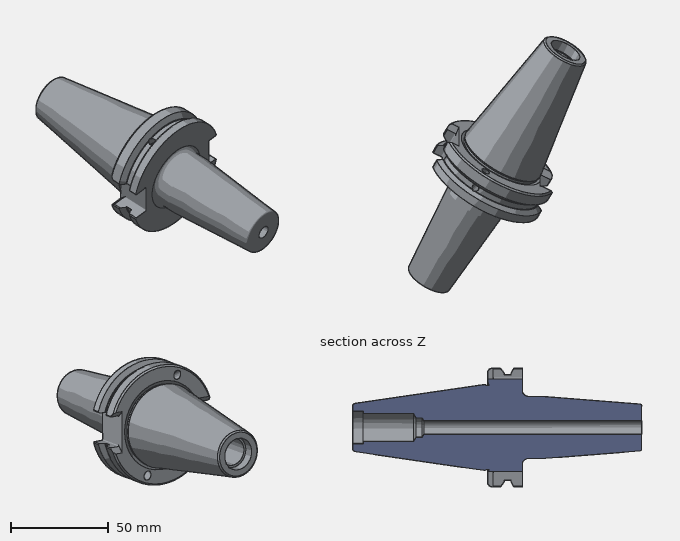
import cadquery as cq
import math

total_length = 148.2

gauge_x = 68.3
gauge_radius = 22.2
taper_slope = 7 / 48
taper_end_x = 67.8
entry_chamfer = 0.7

neck_radius = 21.6
neck_start_x = 68.6
undercut_depth = 0.6
undercut_mouth_radius = 23.4

flange_face_x = 69.2
flange_back_x = 87.2
flange_radius = 31.7
flange_chamfer = 0.9
groove_x = 79.5
groove_floor_radius = 28.3
groove_floor_width = 3.3
groove_left_run = 2.2
groove_right_run = 1.6
groove_step = 0.6

nose_radius = 16.0
nose_fillet_length = 3.1
nose_fillet_height = 2.1
nose_cone_x = 97.4
nose_cone_angle = 4.5
nose_end_fillet = 1.0

counterbore_radius = 8.3
counterbore_depth = 5.3
thread_radius = 7.1
thread_depth = 31.1
drill_radius = 4.9
drill_depth = 35.6
through_radius = 3.4
drill_point_angle = 59.0

slot_half_width = 8.2
slot_floor_front = 22.5
slot_floor_back = 24.9
slot_entry_chamfer = 2.8
slot_floor_fillet = 0.6
slot_edge_chamfer = 0.6

coolant_angle = 20.0
coolant_radius = 27.0
coolant_slant = 30.0
coolant_diameter = 4.2
plug_hole_diameter = 3.5


def taper_radius(x):
    return gauge_radius - (gauge_x - x) * taper_slope


def body():
    """Solid of revolution: taper, undercut, flange with V groove, and nose."""
    groove_wall_radius = groove_floor_radius + groove_step
    floor_left = groove_x - groove_floor_width / 2
    floor_right = groove_x + groove_floor_width / 2
    mouth_left = floor_left - groove_left_run
    mouth_right = floor_right + groove_right_run

    fillet_radius = (nose_fillet_length**2 + nose_fillet_height**2) / (2 * nose_fillet_height)
    fillet_end_x = flange_back_x + nose_fillet_length
    half_sweep = math.asin(nose_fillet_length / fillet_radius) / 2
    fillet_mid = (
        fillet_end_x - fillet_radius * math.sin(half_sweep),
        nose_radius + fillet_radius * (1 - math.cos(half_sweep)),
    )

    nose_taper = (total_length - nose_cone_x) * math.tan(math.radians(nose_cone_angle))
    profile = (
        cq.Workplane("XY")
        .moveTo(0, 0)
        .lineTo(0, taper_radius(0) - entry_chamfer)
        .lineTo(entry_chamfer, taper_radius(entry_chamfer))
        .lineTo(taper_end_x, taper_radius(taper_end_x))
        .lineTo(neck_start_x, neck_radius)
        .lineTo(flange_face_x + undercut_depth, neck_radius)
        .lineTo(flange_face_x, undercut_mouth_radius)
        .lineTo(flange_face_x, flange_radius - flange_chamfer)
        .lineTo(flange_face_x + flange_chamfer, flange_radius)
        .lineTo(mouth_left, flange_radius)
        .lineTo(floor_left, groove_wall_radius)
        .lineTo(floor_left, groove_floor_radius)
        .lineTo(floor_right, groove_floor_radius)
        .lineTo(floor_right, groove_wall_radius)
        .lineTo(mouth_right, flange_radius)
        .lineTo(flange_back_x, flange_radius)
        .lineTo(flange_back_x, nose_radius + nose_fillet_height)
        .threePointArc(fillet_mid, (fillet_end_x, nose_radius))
        .lineTo(nose_cone_x, nose_radius)
        .lineTo(total_length, nose_radius - nose_taper)
        .lineTo(total_length, 0)
        .close()
    )
    solid = profile.revolve(360, (0, 0, 0), (1, 0, 0))
    return solid.faces(">X").edges().fillet(nose_end_fillet)


def bore():
    """Stepped bore whose conical drill points lead down to the through hole."""
    point_slope = math.tan(math.radians(drill_point_angle))
    thread_point = (thread_radius - drill_radius) / point_slope
    drill_point = (drill_radius - through_radius) / point_slope
    return (
        cq.Workplane("XY")
        .moveTo(0, 0)
        .lineTo(0, counterbore_radius)
        .lineTo(counterbore_depth, counterbore_radius)
        .lineTo(counterbore_depth, thread_radius)
        .lineTo(thread_depth, thread_radius)
        .lineTo(thread_depth + thread_point, drill_radius)
        .lineTo(drill_depth, drill_radius)
        .lineTo(drill_depth + drill_point, through_radius)
        .lineTo(total_length, through_radius)
        .lineTo(total_length, 0)
        .close()
        .revolve(360, (0, 0, 0), (1, 0, 0))
    )


def drive_slot(side, floor_distance):
    """Cutter for one drive slot; side is -1 or +1 along Y."""
    slot_depth = flange_radius - floor_distance
    entry_half_width = slot_half_width + slot_entry_chamfer
    slot = (
        cq.Workplane("XZ", origin=(0, side * floor_distance, 0))
        .moveTo(flange_face_x, -entry_half_width)
        .lineTo(flange_face_x + slot_entry_chamfer, -slot_half_width)
        .lineTo(flange_back_x, -slot_half_width)
        .lineTo(flange_back_x, slot_half_width)
        .lineTo(flange_face_x + slot_entry_chamfer, slot_half_width)
        .lineTo(flange_face_x, entry_half_width)
        .close()
        .extrude(-side * slot_depth)
    )
    floor_face = "<Y" if side > 0 else ">Y"
    slot = slot.faces(floor_face).edges("|X").fillet(slot_floor_fillet)

    bevel_half_width = slot_half_width + slot_edge_chamfer
    wall_edge_y = math.sqrt(flange_radius**2 - slot_half_width**2) - slot_edge_chamfer
    rim_edge_y = math.sqrt(flange_radius**2 - bevel_half_width**2)
    bevels = (
        cq.Workplane("YZ", origin=(flange_face_x, 0, 0))
        .moveTo(side * wall_edge_y, -slot_half_width)
        .lineTo(side * rim_edge_y, -bevel_half_width)
        .lineTo(side * flange_radius, -bevel_half_width)
        .lineTo(side * flange_radius, bevel_half_width)
        .lineTo(side * rim_edge_y, bevel_half_width)
        .lineTo(side * wall_edge_y, slot_half_width)
        .close()
        .extrude(flange_back_x - flange_face_x)
    )
    return slot.union(bevels)


def coolant_channel():
    """Slanted hole from the flange face joined to a radial hole in the groove."""
    slant = math.radians(coolant_slant)
    run = groove_x - flange_face_x
    meeting_radius = coolant_radius - run * math.tan(slant)
    direction = cq.Vector(math.cos(slant), 0, -math.sin(slant))
    meeting_point = cq.Vector(groove_x, 0, meeting_radius)
    lead = 2 * coolant_diameter
    slanted_length = run / math.cos(slant) + lead
    slanted = cq.Solid.makeCylinder(
        coolant_diameter / 2, slanted_length, meeting_point - direction * slanted_length, direction
    )
    flange_zone = cq.Workplane("YZ", origin=(flange_face_x, 0, 0)).circle(flange_radius)
    slanted = flange_zone.extrude(run).intersect(cq.Workplane(slanted))
    radial = cq.Solid.makeCylinder(
        plug_hole_diameter / 2, flange_radius - meeting_radius, meeting_point, cq.Vector(0, 0, 1)
    )
    return slanted.union(cq.Workplane(radial))


result = body().cut(bore())
result = result.cut(drive_slot(-1, slot_floor_front))
result = result.cut(drive_slot(1, slot_floor_back))
for turn in (coolant_angle, coolant_angle + 180):
    result = result.cut(coolant_channel().rotate((0, 0, 0), (1, 0, 0), turn))